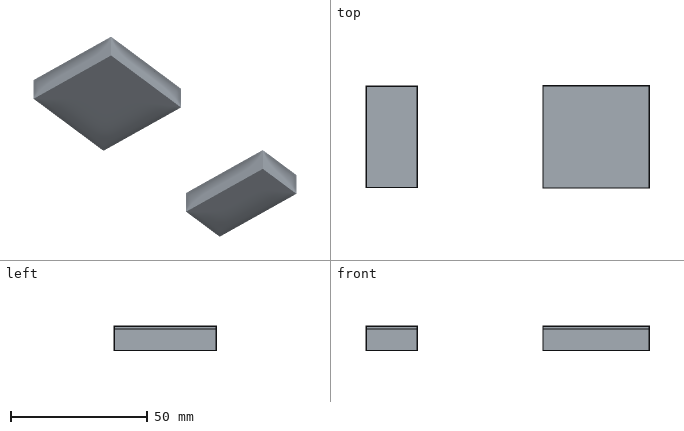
import cadquery as cq

total_height = 9.0
lid_thickness = 1.0
base_height = total_height - lid_thickness

small_width = 18.8
small_depth = 37.2
large_width = 39.1
large_depth = 37.6
gap_between_boxes = 46.0

small_center_x = small_width / 2
large_center_x = small_width + gap_between_boxes + large_width / 2


def make_base(width, depth, center_x):
    """Plain block standing on Z = 0."""
    return (
        cq.Workplane("XY")
        .center(center_x, 0)
        .rect(width, depth)
        .extrude(base_height)
    )


def make_lid(width, depth, center_x):
    """Flat plate resting on the base, flush with its sides."""
    return (
        cq.Workplane("XY", origin=(0, 0, base_height))
        .center(center_x, 0)
        .rect(width, depth)
        .extrude(lid_thickness)
    )


small_base = make_base(small_width, small_depth, small_center_x)
small_lid = make_lid(small_width, small_depth, small_center_x)
large_base = make_base(large_width, large_depth, large_center_x)
large_lid = make_lid(large_width, large_depth, large_center_x)

result = cq.Compound.makeCompound(
    [small_base.val(), small_lid.val(), large_base.val(), large_lid.val()]
)